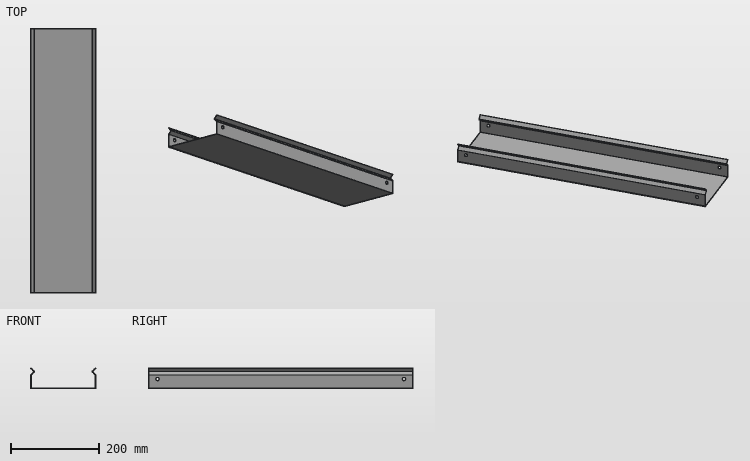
import cadquery as cq
import math

width = 147.74
length = 600.0
height = 46.25
sheet = 1.25

lip_depth = 9.0
lip_angle = math.radians(45.0)

hole_diameter = 7.0
hole_end_distance = 20.0
hole_height = 21.25


def half_profile():
    """Outline of the right half: floor, wall and lip, up the outside and back down the inside."""
    outer_x = width / 2
    inner_x = outer_x - sheet
    slope = math.tan(lip_angle)

    end_x = outer_x - sheet * math.sin(lip_angle)
    end_z = height - sheet * math.cos(lip_angle)

    fold_x = outer_x - lip_depth
    fold_z = height - (end_x - fold_x) * slope
    hollow_x = fold_x + sheet / math.sin(lip_angle)

    wall_top_outer = fold_z - (outer_x - hollow_x) * slope
    wall_top_inner = fold_z - (inner_x - fold_x) * slope

    return [
        (0, 0),
        (outer_x, 0),
        (outer_x, wall_top_outer),
        (hollow_x, fold_z),
        (outer_x, end_z),
        (end_x, height),
        (fold_x, fold_z),
        (inner_x, wall_top_inner),
        (inner_x, sheet),
        (0, sheet),
    ]


def make_channel():
    half = cq.Workplane("XZ").polyline(half_profile()).close().extrude(length / 2, both=True)
    return half.union(half.mirror("YZ")).clean()


def make_wall_holes():
    hole_y = length / 2 - hole_end_distance
    return (
        cq.Workplane("YZ")
        .pushPoints([(-hole_y, hole_height), (hole_y, hole_height)])
        .circle(hole_diameter / 2)
        .extrude(width / 2, both=True)
    )


result = make_channel().cut(make_wall_holes())